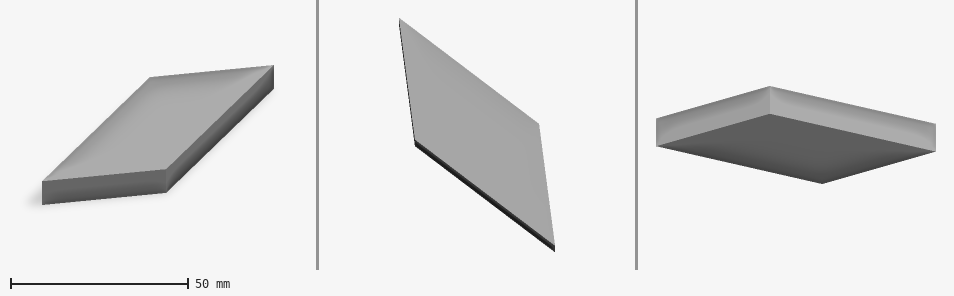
import cadquery as cq

length = 75.0
width = length / 3
thickness = 0.4 * width

end_run = width

outline = [
    (0, 0),
    (width, end_run),
    (width, length),
    (0, length - end_run),
]

result = cq.Workplane("XY").polyline(outline).close().extrude(thickness)